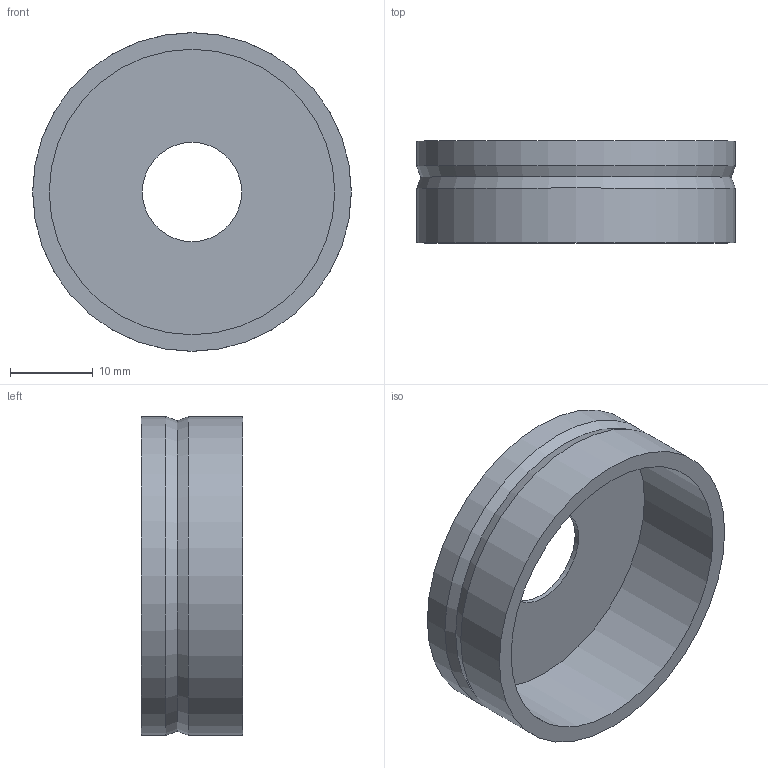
import cadquery as cq

floor_end_diameter = 38.5
open_end_diameter = 38.49
wall_thickness = 2.0
bore_diameter = 12.0
width = 12.3
floor_thickness = 0.6

groove_offset = 3.0
groove_width = 2.7
groove_depth = 0.5

floor_end_radius = floor_end_diameter / 2
open_end_radius = open_end_diameter / 2
cavity_radius = open_end_radius - wall_thickness
bore_radius = bore_diameter / 2
groove_radius = floor_end_radius - groove_depth

open_face = -width / 2
closed_face = width / 2
floor_face = closed_face - floor_thickness
groove_back = closed_face - groove_offset
groove_front = groove_back - groove_width
groove_bottom = (groove_back + groove_front) / 2


def grooved_cup():
    """Revolve the half section (radius along X, position along Y) about the Y axis."""
    section = (
        cq.Workplane("XY")
        .moveTo(bore_radius, closed_face)
        .lineTo(floor_end_radius, closed_face)
        .lineTo(floor_end_radius, groove_back)
        .lineTo(groove_radius, groove_bottom)
        .lineTo(open_end_radius, groove_front)
        .lineTo(open_end_radius, open_face)
        .lineTo(cavity_radius, open_face)
        .lineTo(cavity_radius, floor_face)
        .lineTo(bore_radius, floor_face)
        .close()
    )
    return section.revolve(360, (0, 0, 0), (0, 1, 0))


result = grooved_cup()